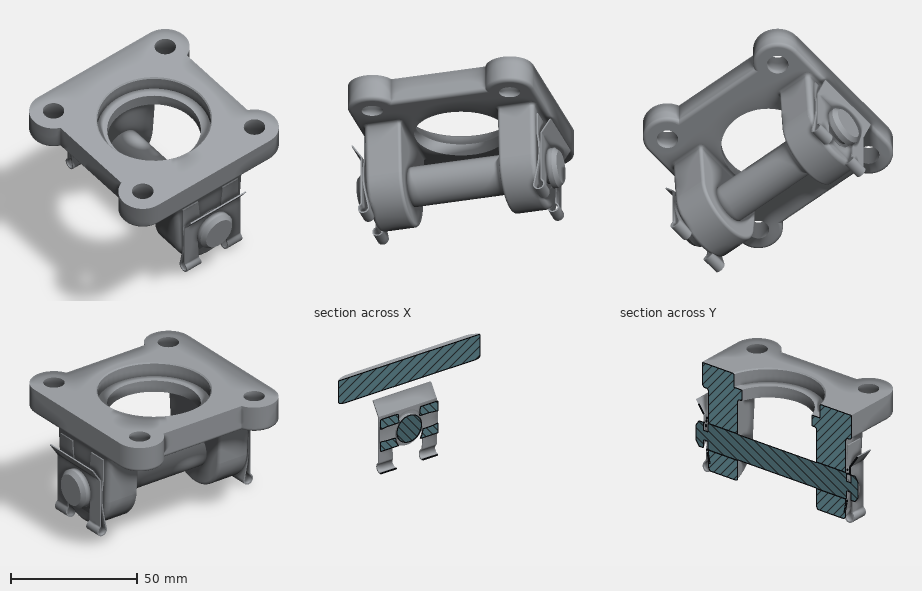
import cadquery as cq
import math

SIDES = (1, -1)
MARGIN = 0.8

flange_half = 37.99
flange_waist_half = 32.0
flange_thickness = 11.0
flange_edge_fillet = 1.5
screw_offset = 28.3
screw_hole_diameter = 8.5
boss_radius = flange_half - screw_offset

bore_radius = 18.6
counterbore_radius = 22.5
counterbore_depth = 6.0
counterbore_chamfer = 0.5

pin_length = 82.5
pin_radius = 8.0
pin_z = -32.0
pin_chamfer_length = 1.65
pin_chamfer_depth = 1.5
neck_radius = 6.0
neck_inner = 35.3

lug_inner = 20.0
lug_outer = 35.0
lug_radius = 16.0
lug_draft = math.radians(4)
lug_inner_fillet = 1.2
lug_outer_fillet = 1.8
lug_root_fillet = 1.0

strip = 0.6
clip_half_width = 14.0
lip_tip_out = 40.8
lip_tip_z = -17.5
lip_bend_z = -23.1
plate_out = 37.05
loop_out = 36.1
loop_radius = 2.1
loop_bottom_z = -48.3
loop_z = loop_bottom_z + loop_radius + strip / 2
loop_bend_radius = 0.75
bow_radius = 37.1
bow_z = -30.9
bow_crest_out = 36.3
leaf_out = 35.55
leaf_top_z = -14.2
neck_outer = plate_out + strip / 2

plate_slot_radius = 7.75
plate_slot_end_half = 7.1
loop_slot_top_z = -43.65
loop_slot_end_half = 6.1
fork_mouth_half = 6.2
fork_throat_half = 4.45
fork_radius = 6.4
fork_bottom_z = -40.6


def make_lug(side):
    """Tapered lug with a round lower end and rounded edges around both flat faces."""
    root_z = -flange_thickness
    tangent_y = lug_radius * math.cos(lug_draft)
    tangent_z = pin_z - lug_radius * math.sin(lug_draft)
    root_y = tangent_y + (root_z - tangent_z) * math.tan(lug_draft)
    lug = (
        cq.Workplane("YZ", origin=(side * lug_inner, 0, 0))
        .moveTo(-root_y, root_z)
        .lineTo(-tangent_y, tangent_z)
        .threePointArc((0, pin_z - lug_radius), (tangent_y, tangent_z))
        .lineTo(root_y, root_z)
        .close()
        .extrude(side * (lug_outer - lug_inner))
    )
    inner_face, outer_face = ("<X", ">X") if side > 0 else (">X", "<X")
    lug = lug.faces(outer_face).edges("not >Z").fillet(lug_outer_fillet)
    return lug.faces(inner_face).edges("not >Z").fillet(lug_inner_fillet)


def make_flange():
    """Plate with four round corner bosses and a rounded lower rim."""
    waist_drop = flange_waist_half - screw_offset
    notch_x = screw_offset - math.sqrt(boss_radius**2 - waist_drop**2)
    outline = cq.Workplane("XY").moveTo(-notch_x, flange_waist_half).lineTo(notch_x, flange_waist_half)
    outline = outline.threePointArc((screw_offset, flange_half), (flange_half, screw_offset))
    outline = outline.lineTo(flange_half, -screw_offset)
    outline = outline.threePointArc((screw_offset, -flange_half), (notch_x, -flange_waist_half))
    outline = outline.lineTo(-notch_x, -flange_waist_half)
    outline = outline.threePointArc((-screw_offset, -flange_half), (-flange_half, -screw_offset))
    outline = outline.lineTo(-flange_half, screw_offset)
    outline = outline.threePointArc((-screw_offset, flange_half), (-notch_x, flange_waist_half))
    flange = outline.close().extrude(-flange_thickness)
    return flange.faces("<Z").edges().fillet(flange_edge_fillet)


def make_bracket(clips):
    """Flange and both lugs, with the bores and the seats that the clips press into."""
    bracket = make_flange()
    for side in SIDES:
        bracket = bracket.union(make_lug(side))
    between_bosses_y = screw_offset - boss_radius
    for side in SIDES:
        near_x, far_x = sorted((side * (lug_inner - MARGIN), side * (lug_outer + MARGIN)))
        root = cq.selectors.BoxSelector(
            (near_x, -between_bosses_y, -flange_thickness - MARGIN),
            (far_x, between_bosses_y, -flange_thickness + MARGIN),
        )
        bracket = bracket.edges(root).fillet(lug_root_fillet)

    bore = cq.Workplane("XY").circle(bore_radius).extrude(-flange_thickness)
    counterbore = cq.Workplane("XY").circle(counterbore_radius).extrude(-counterbore_depth)
    bracket = bracket.cut(bore).cut(counterbore)
    rim = cq.selectors.RadiusNthSelector(-1)
    bracket = bracket.faces(">Z").edges("%CIRCLE").edges(rim).chamfer(counterbore_chamfer)

    screw_holes = (
        cq.Workplane("XY")
        .rect(2 * screw_offset, 2 * screw_offset, forConstruction=True)
        .vertices()
        .circle(screw_hole_diameter / 2)
        .extrude(-flange_thickness)
    )
    pin_hole = (
        cq.Workplane("YZ", origin=(-pin_length / 2, 0, pin_z)).circle(pin_radius).extrude(pin_length)
    )
    bracket = bracket.cut(screw_holes).cut(pin_hole)
    for clip in clips:
        bracket = bracket.cut(clip)
    return bracket


def make_pin():
    """Chamfered pin with a neck near each end for the clip."""
    half = pin_length / 2
    pin = (
        cq.Workplane("XY")
        .moveTo(-half, 0)
        .lineTo(-half, pin_radius - pin_chamfer_depth)
        .lineTo(-half + pin_chamfer_length, pin_radius)
        .lineTo(half - pin_chamfer_length, pin_radius)
        .lineTo(half, pin_radius - pin_chamfer_depth)
        .lineTo(half, 0)
        .close()
        .revolve(360, (0, 0, 0), (1, 0, 0))
        .translate((0, 0, pin_z))
    )
    for side in SIDES:
        groove = (
            cq.Workplane("YZ", origin=(side * neck_inner, 0, pin_z))
            .circle(pin_radius + MARGIN)
            .circle(neck_radius)
            .extrude(side * (neck_outer - neck_inner))
        )
        pin = pin.cut(groove)
    return pin


def strip_face(offset):
    """(out, Z) points along one face of the bent strip, from lip tip to leaf top.

    A positive offset gives the face on the outside of the hairpin: the lip and plate face
    that looks towards the end of the pin, and the leaf face that looks towards the lug.
    """
    lip_length = math.hypot(lip_tip_out - plate_out, lip_tip_z - lip_bend_z)
    lip_out = (lip_tip_out - plate_out) / lip_length
    lip_up = (lip_tip_z - lip_bend_z) / lip_length
    miter = offset * (1 - lip_up) / lip_out

    radius = loop_radius + offset
    mouth_out = plate_out + offset - loop_out
    mouth_z = loop_z + math.sqrt(radius**2 - mouth_out**2)

    bow = bow_radius - offset
    bow_out = bow_crest_out - bow_radius
    gap_out = loop_out - bow_out
    gap_z = bow_z - loop_z
    lean = math.atan2(gap_z, gap_out) - math.acos((bow_radius + loop_radius) / math.hypot(gap_out, gap_z))
    leaf_face = leaf_out - offset
    bow_top_z = bow_z + math.sqrt(bow**2 - (leaf_face - bow_out) ** 2)

    return {
        "lip tip": (lip_tip_out + offset / lip_up, lip_tip_z),
        "lip bend": (plate_out + offset, lip_bend_z - miter),
        "loop mouth": (plate_out + offset, mouth_z),
        "loop bottom": (loop_out, loop_z - radius),
        "loop end": (loop_out - radius * math.cos(lean), loop_z + radius * math.sin(lean)),
        "bow start": (bow_out + bow * math.cos(lean), bow_z - bow * math.sin(lean)),
        "bow crest": (bow_out + bow, bow_z),
        "bow end": (leaf_face, bow_top_z),
        "leaf top": (leaf_face, leaf_top_z),
    }


def make_clip_blank():
    """The bent strip at its full width, before it is slotted."""
    outer = strip_face(strip / 2)
    inner = strip_face(-strip / 2)
    blank = (
        cq.Workplane("XZ", origin=(0, clip_half_width, 0))
        .moveTo(*outer["lip tip"])
        .lineTo(*outer["lip bend"])
        .lineTo(*outer["loop mouth"])
        .threePointArc(outer["loop bottom"], outer["loop end"])
        .lineTo(*outer["bow start"])
        .threePointArc(outer["bow crest"], outer["bow end"])
        .lineTo(*outer["leaf top"])
        .lineTo(*inner["leaf top"])
        .lineTo(*inner["bow end"])
        .threePointArc(inner["bow crest"], inner["bow start"])
        .lineTo(*inner["loop end"])
        .threePointArc(inner["loop bottom"], inner["loop mouth"])
        .lineTo(*inner["lip bend"])
        .lineTo(*inner["lip tip"])
        .close()
        .extrude(2 * clip_half_width)
    )
    for face, bend_radius in ((outer, loop_bend_radius), (inner, loop_bend_radius + strip)):
        mouth_out, mouth_z = face["loop mouth"]
        corner = cq.selectors.NearestToPointSelector((mouth_out, 0, mouth_z))
        blank = blank.edges("|Y").edges(corner).fillet(bend_radius)
    return blank


def tapered_cutter(start_out, end_out, top_half, top_z, bottom_half, bottom_z):
    """Prism along X whose trapezoid has the given half widths at its top and bottom."""
    return (
        cq.Workplane("YZ", origin=(start_out, 0, 0))
        .moveTo(-top_half, top_z)
        .lineTo(top_half, top_z)
        .lineTo(bottom_half, bottom_z)
        .lineTo(-bottom_half, bottom_z)
        .close()
        .extrude(end_out - start_out)
    )


def make_clip(side):
    """Spring clip whose plate and forked leaf both straddle a neck of the pin."""
    clip = make_clip_blank()
    start_out = lug_inner
    between_out = (plate_out + bow_crest_out) / 2
    end_out = pin_length / 2

    plate_slot = tapered_cutter(
        between_out, end_out, plate_slot_radius, pin_z, plate_slot_end_half, loop_slot_top_z
    )
    plate_eye = (
        cq.Workplane("YZ", origin=(between_out, 0, pin_z))
        .circle(plate_slot_radius)
        .extrude(end_out - between_out)
    )

    loop_slot = tapered_cutter(
        start_out, end_out, plate_slot_end_half, loop_slot_top_z, loop_slot_end_half, loop_bottom_z
    )

    fork_end_z = fork_bottom_z + fork_radius
    fork_mouth = tapered_cutter(
        start_out, between_out, fork_mouth_half, leaf_top_z, fork_throat_half, pin_z
    )
    fork_eye = (
        cq.Workplane("YZ", origin=(start_out, 0, (pin_z + fork_end_z) / 2))
        .slot2D(pin_z - fork_end_z + 2 * fork_radius, 2 * fork_radius, 90)
        .extrude(between_out - start_out)
    )

    for opening in (plate_slot, plate_eye, loop_slot, fork_mouth, fork_eye):
        clip = clip.cut(opening)
    return clip if side > 0 else clip.mirror("YZ")


clips = [make_clip(side) for side in SIDES]
pin = make_pin()
bracket = make_bracket(clips)

result = cq.Compound.makeCompound([bracket.val(), pin.val(), *[clip.val() for clip in clips]])